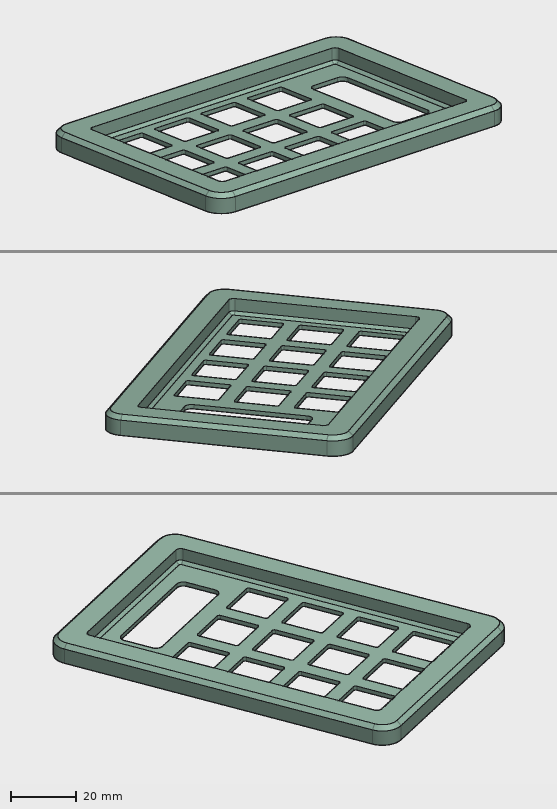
import cadquery as cq

body_width = 78.5
body_length = 119.5
body_height = 6.5
body_corner_radius = 6.5
top_chamfer = 1.4

rim_width = 9.0
floor_thickness = 1.4
recess_corner_radius = 1.5
recess_foot_chamfer = 1.0

key_size = 14.2
key_corner_radius = 0.7
key_pitch = 19.1
key_columns = 3
key_rows = 4
key_grid_center_y = -11.1
window_width = 40.6
window_length = key_size
window_corner_radius = 2.3
window_center_y = 37.8

recess_width = body_width - 2 * rim_width
recess_length = body_length - 2 * rim_width
recess_depth = body_height - floor_thickness


def rounded_block(width, length, height, corner_radius):
    """Block centred on the Z axis, standing on Z = 0, with rounded vertical edges."""
    block = cq.Workplane("XY").box(width, length, height, centered=(True, True, False))
    return block.edges("|Z").fillet(corner_radius)


def make_body():
    body = rounded_block(body_width, body_length, body_height, body_corner_radius)
    return body.faces(">Z").edges().chamfer(top_chamfer)


def make_recess():
    """Pocket volume whose foot is chamfered, so a bevel stays between wall and floor."""
    recess = rounded_block(recess_width, recess_length, recess_depth, recess_corner_radius)
    recess = recess.faces("<Z").edges().chamfer(recess_foot_chamfer)
    return recess.translate((0, 0, floor_thickness))


def make_window():
    window = rounded_block(window_width, window_length, body_height, window_corner_radius)
    return window.translate((0, window_center_y, 0))


def cut_keys(body):
    """Cut the grid of square key openings."""
    key = rounded_block(key_size, key_size, body_height, key_corner_radius)
    for column in range(key_columns):
        for row in range(key_rows):
            x = (column - (key_columns - 1) / 2) * key_pitch
            y = key_grid_center_y + (row - (key_rows - 1) / 2) * key_pitch
            body = body.cut(key.translate((x, y, 0)))
    return body


result = cut_keys(make_body().cut(make_recess()).cut(make_window()))